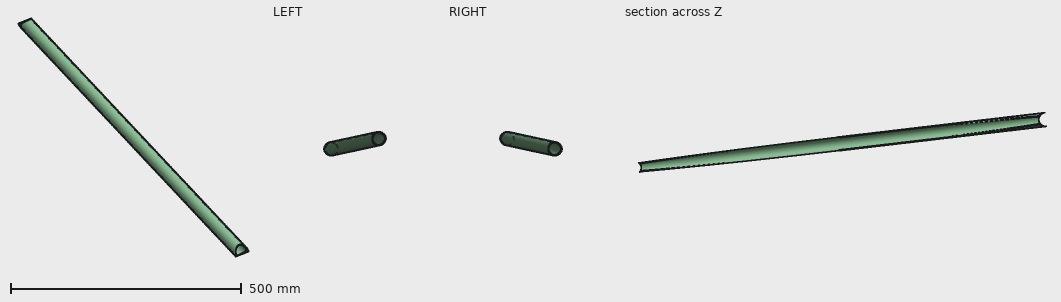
import cadquery as cq

tube_diameter = 30.0
wall_thickness = 2.0

run_x = 890.94
rise_y = 104.92
drop_z = 22.74

post_diameter = tube_diameter

tube_radius = tube_diameter / 2
bore_radius = tube_radius - wall_thickness
post_radius = post_diameter / 2
post_height = 4 * tube_diameter
end_allowance = post_diameter

start_post = cq.Vector(-run_x / 2, -rise_y / 2, drop_z / 2)
end_post = cq.Vector(run_x / 2, rise_y / 2, -drop_z / 2)
tube_axis = end_post - start_post
level_direction = cq.Vector(rise_y, -run_x, 0)


def make_overlong_tube():
    """Straight hollow tube that runs past both post centres."""
    start = start_post - tube_axis.normalized() * end_allowance
    plane = cq.Plane(origin=start, xDir=level_direction, normal=tube_axis)
    section = cq.Workplane(plane).circle(tube_radius).circle(bore_radius)
    return section.extrude(tube_axis.Length + 2 * end_allowance)


def make_post(centre):
    """Upright cylinder that shapes the fish-mouth cope at one end."""
    base = centre - cq.Vector(0, 0, post_height / 2)
    return cq.Workplane(cq.Plane(origin=base)).circle(post_radius).extrude(post_height)


def keep_middle(pieces):
    """Keep the piece between the posts and drop the offcuts outside them."""
    middle = cq.selectors.NearestToPointSelector((0, 0, 0))
    return cq.Workplane(pieces.solids(middle).val())


tube = make_overlong_tube()
for post_centre in (start_post, end_post):
    tube = tube.cut(make_post(post_centre))

result = keep_middle(tube)